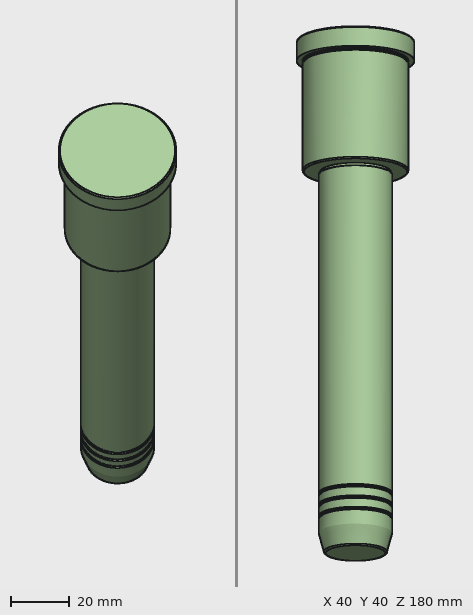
import cadquery as cq
import math

total_length = 180.0

flange_radius = 20.0
flange_height = 7.0
flange_chamfer = 0.5

body_radius = 18.0
body_bottom_depth = 46.0
body_chamfer = 0.5
body_relief_width = 1.0
body_relief_depth = 0.5

shaft_radius = 12.5
shaft_relief_width = 1.0
shaft_relief_depth = 0.5

groove_count = 3
groove_pitch = 4.0
groove_width = 1.0
groove_depth = 0.5
lowest_groove_bottom = 12.0

groove_wall_angle = 30.0

taper_height = 7.0
taper_angle = 15.0
tip_chamfer = 0.5

flange_bottom = total_length - flange_height
body_bottom = total_length - body_bottom_depth
tip_radius = shaft_radius - taper_height * math.tan(math.radians(taper_angle))


def cylinder(radius, bottom, top):
    """Solid cylinder on the Z axis between two heights."""
    return cq.Workplane("XY").workplane(offset=bottom).circle(radius).extrude(top - bottom)


def square_groove(radius, depth, bottom, width):
    """Ring that cuts a square groove into a cylinder of the given radius."""
    outer = cylinder(radius, bottom, bottom + width)
    return outer.cut(cylinder(radius - depth, bottom, bottom + width))


def tapered_groove(radius, depth, bottom, width):
    """Ring that cuts a flat-bottomed groove with sloping walls into a cylinder."""
    wall_run = depth * math.tan(math.radians(groove_wall_angle))
    section = [
        (radius, bottom),
        (radius - depth, bottom + wall_run),
        (radius - depth, bottom + width - wall_run),
        (radius, bottom + width),
    ]
    return cq.Workplane("XZ").polyline(section).close().revolve(360, (0, 0), (0, 1))


def make_flange():
    flange = cylinder(flange_radius, flange_bottom, total_length)
    return flange.faces(">Z").chamfer(flange_chamfer)


def make_body():
    body = cylinder(body_radius, body_bottom, flange_bottom)
    body = body.faces("<Z").chamfer(body_chamfer)
    relief_bottom = flange_bottom - body_relief_width
    relief = tapered_groove(body_radius, body_relief_depth, relief_bottom, body_relief_width)
    return body.cut(relief)


def make_shaft():
    shaft = cylinder(shaft_radius, taper_height, body_bottom)
    relief_bottom = body_bottom - shaft_relief_width
    relief = square_groove(shaft_radius, shaft_relief_depth, relief_bottom, shaft_relief_width)
    shaft = shaft.cut(relief)
    for index in range(groove_count):
        groove_bottom = lowest_groove_bottom + index * groove_pitch
        groove = tapered_groove(shaft_radius, groove_depth, groove_bottom, groove_width)
        shaft = shaft.cut(groove)
    return shaft


def make_tip():
    tip_end = cq.Workplane("XY").circle(tip_radius)
    tip = tip_end.workplane(offset=taper_height).circle(shaft_radius).loft()
    return tip.faces("<Z").chamfer(tip_chamfer)


result = make_flange().union(make_body()).union(make_shaft()).union(make_tip())